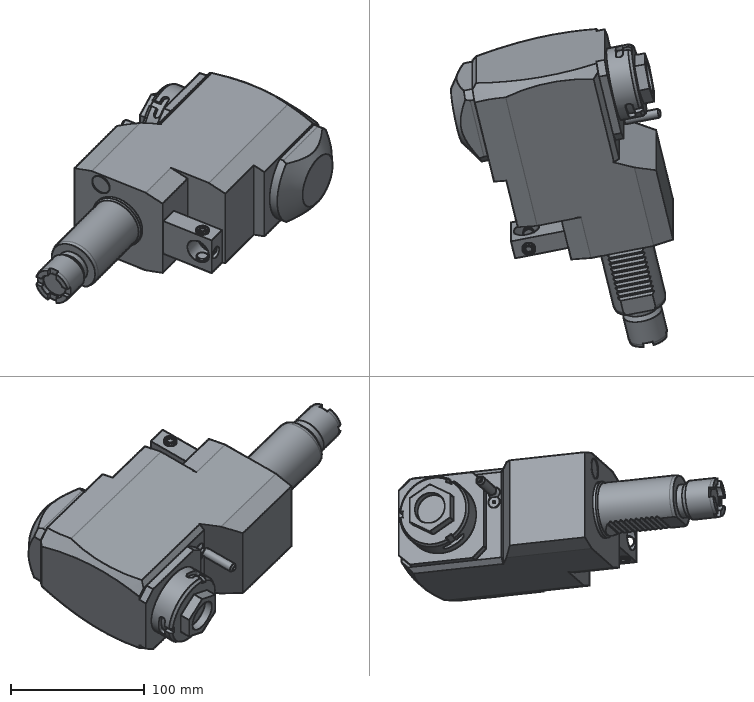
import cadquery as cq
import math


HEIGHT = 75.0
HALF_HEIGHT = HEIGHT / 2
BACK_Y = 154.1
FOOT_HALF_WIDTH = 39.0
FOOT_TOP_Y = 35.0
NECK_RIGHT_X = 72.4
HEAD_FRONT_Y = 74.8
HEAD_LEFT_X = -14.0
HEAD_RIGHT_X = 81.8
SLANT_TOP_X = -9.6
SLANT_BOTTOM_Y = 59.5
SIDE_BEVEL_ANGLE = 15
BEVEL_SLOPE = math.tan(math.radians(SIDE_BEVEL_ANGLE))
FOOT_BEVEL_X = 24.0
HEAD_BEVEL_X = 57.5
HEAD_LEFT_CHAMFER = 4.0
HEAD_CORNER_CHAMFER = 3.7
CROWN_RADIUS = 128.5
CROWN_CENTER_X = 22.2
CROWN_DROP = 4.0
RECESS_RADIUS = 7.7
RECESS_DEPTH = 0.7
RECESS_X = -15.8
RECESS_Z = 27.7

SHANK_RADIUS = 20.0
SHANK_LENGTH = 63.0
SHANK_CHAMFER = 2.7
SHANK_CHAMFER_DEPTH = 0.7
COLLAR_RADIUS = 21.2
COLLAR_LENGTH = 2.2
COLLAR_TAPER_END = 3.5
TAIL_RADIUS = 12.5
TAIL_STEP_Y = -67.7
TAIL_NUT_RADIUS = 14.8
TAIL_NUT_Y = -71.1
TAIL_TIP_Y = -92.9
TAIL_TIP_CHAMFER = 2.7
TAIL_TIP_CHAMFER_DEPTH = 0.5
TAIL_BORE_RADIUS = 10.0
TAIL_BORE_DEPTH = 4.2
TAIL_SLOT_WIDTH = 7.5
TAIL_SLOT_DEPTH = 3.2
FLAT_Z = -15.8
FLAT_START_Y = -8.5
TOOTH_COUNT = 10
TOOTHED_LENGTH = 41.0
TOOTH_PITCH = TOOTHED_LENGTH / TOOTH_COUNT
FIRST_TOOTH_Y = -11.4
TOOTH_DEPTH = 1.5

SPINDLE_Y = 120.0
PLATE_LEFT_X = -20.3
PLATE_FRONT_Y = 86.7
PLATE_HALF_HEIGHT = HALF_HEIGHT - HEAD_LEFT_CHAMFER
PLATE_CORNER_Y = 9.0
PLATE_CORNER_Z = 8.2
RING_RADIUS = 27.5
RING_LEFT_X = -39.3
RING_CHAMFER_X = 2.5
RING_CHAMFER_DEPTH = 1.5
SPANNER_COUNT = 3
SPANNER_WIDTH = 5.5
SPANNER_ARC = 39
SPANNER_DEPTH = 3.2
SPANNER_X = -30.0
NOTCH_WIDTH = 5.0
HEX_SIDES = 6
HEX_ACROSS_FLATS = 32.0
CORNERS_UP = 90
HEX_LEFT_X = -47.2
HEX_BORE_RADIUS = 11.9
HEX_BORE_DEPTH = 6.5

NOZZLE_Y = 80.5
NOZZLE_Z = 17.8
NOZZLE_RADIUS = 3.5
NOZZLE_LEFT_X = -47.0
NOZZLE_RIGHT_X = -19.5
NOZZLE_NECK_RADIUS = 2.2
NOZZLE_FOOT_RADIUS = 4.5
NOZZLE_FOOT_LENGTH = 2.5
NOZZLE_CHAMFER = 1.5
NOZZLE_BORE_RADIUS = 2.0
NOZZLE_BORE_DEPTH = 5.0
CLAMP_Z = 10.4
CLAMP_HEIGHT = 0.7
CLAMP_SOCKET_RADIUS = 1.0

CAP_RADIUS = 37.8
CAP_END_RADIUS = 21.0
CAP_CONE_X = 88.5
CAP_RIGHT_X = 100.3
CAP_HALF_HEIGHT = 29.1
CAP_BEVEL_X = 85.0
CAP_BACK_Y = 150.2

BAR_FRONT_Y = 1.2
BAR_BACK_Y = 15.8
BAR_HALF_HEIGHT = 15.8
BAR_HOLE_X = 70.0
BAR_HOLE_RADIUS = 9.6
END_HOLE_RADIUS = 4.7
SCREW_Y = 7.2
SCREW_RADIUS = 5.0
SCREW_OUTER_Z = 17.8
SCREW_INNER_Z = 8.2
SCREW_CHAMFER = 1.0
SOCKET_ACROSS_CORNERS = 6.0
SOCKET_DEPTH = 2.5

OVERRUN = 2.5


def cylinder_x(radius, x0, x1, y, z):
    return cq.Workplane("YZ", origin=(x0, y, z)).circle(radius).extrude(x1 - x0)


def cylinder_y(radius, y0, y1, x, z):
    return cq.Workplane("XZ", origin=(x, y0, z)).circle(radius).extrude(y0 - y1)


def box(x0, x1, y0, y1, z0, z1):
    return cq.Workplane("XY").box(x1 - x0, y1 - y0, z1 - z0, centered=False).translate((x0, y0, z0))


def with_mirror(upper):
    """Closed outline from its upper points and their mirror images below Z = 0."""
    return upper + [(across, -z) for across, z in reversed(upper)]


def revolve_about_x(profile):
    return cq.Workplane("XY").polyline(profile).close().revolve(360, (0, 0, 0), (1, 0, 0))


def beveled_block(x0, x1, left_drop, left_bevel_x, right_bevel_x, y0, y1):
    """Block whose top and bottom slope down to both sides, the same above and below."""
    right_drop = (x1 - right_bevel_x) * BEVEL_SLOPE
    upper = [
        (x0, HALF_HEIGHT - left_drop),
        (left_bevel_x, HALF_HEIGHT),
        (right_bevel_x, HALF_HEIGHT),
        (x1, HALF_HEIGHT - right_drop),
    ]
    outline = with_mirror(upper)
    return cq.Workplane("XZ", origin=(0, y0, 0)).polyline(outline).close().extrude(y0 - y1)


def make_foot():
    drop = (FOOT_HALF_WIDTH - FOOT_BEVEL_X) * BEVEL_SLOPE
    foot = beveled_block(
        -FOOT_HALF_WIDTH, FOOT_HALF_WIDTH, drop, -FOOT_BEVEL_X, FOOT_BEVEL_X, 0, HEAD_FRONT_Y
    )
    slant = (
        cq.Workplane("XY", origin=(0, 0, -HEIGHT))
        .moveTo(SLANT_TOP_X, HEAD_FRONT_Y)
        .lineTo(-FOOT_HALF_WIDTH, SLANT_BOTTOM_Y)
        .lineTo(-FOOT_HALF_WIDTH - OVERRUN, SLANT_BOTTOM_Y)
        .lineTo(-FOOT_HALF_WIDTH - OVERRUN, HEAD_FRONT_Y)
        .close()
        .extrude(2 * HEIGHT)
    )
    recess = cylinder_y(RECESS_RADIUS, -OVERRUN, RECESS_DEPTH, RECESS_X, RECESS_Z)
    return foot.cut(slant).cut(recess)


def make_neck():
    """Part between the foot and the head, flush with the bevel of the head."""
    neck = beveled_block(
        SLANT_TOP_X, HEAD_RIGHT_X, 0, 0, HEAD_BEVEL_X, FOOT_TOP_Y, HEAD_FRONT_Y
    )
    return neck.cut(box(NECK_RIGHT_X, HEAD_RIGHT_X + OVERRUN, 0, HEAD_FRONT_Y, -HEIGHT, HEIGHT))


def make_head():
    head = beveled_block(
        HEAD_LEFT_X, HEAD_RIGHT_X, HEAD_LEFT_CHAMFER, HEAD_LEFT_X + HEAD_LEFT_CHAMFER,
        HEAD_BEVEL_X, HEAD_FRONT_Y, BACK_Y,
    )
    head = head.edges("|Z and >X and >Y").chamfer(HEAD_CORNER_CHAMFER)
    crown_center_y = BACK_Y - CROWN_DROP - CROWN_RADIUS
    crown = (
        cq.Workplane("XZ", origin=(CROWN_CENTER_X, crown_center_y, 0))
        .polyline([
            (0, -HALF_HEIGHT),
            (CROWN_RADIUS, -HALF_HEIGHT),
            (CROWN_RADIUS + HALF_HEIGHT, 0),
            (CROWN_RADIUS, HALF_HEIGHT),
            (0, HALF_HEIGHT),
        ])
        .close()
        .revolve(360, (0, 0, 0), (0, 1, 0))
    )
    return head.intersect(crown)


def make_shank():
    profile = [
        (0, 0),
        (COLLAR_RADIUS, 0),
        (COLLAR_RADIUS, -COLLAR_LENGTH),
        (SHANK_RADIUS, -COLLAR_TAPER_END),
        (SHANK_RADIUS, SHANK_CHAMFER - SHANK_LENGTH),
        (SHANK_RADIUS - SHANK_CHAMFER_DEPTH, -SHANK_LENGTH),
        (TAIL_RADIUS, -SHANK_LENGTH),
        (TAIL_RADIUS, TAIL_STEP_Y),
        (TAIL_NUT_RADIUS, TAIL_NUT_Y),
        (TAIL_NUT_RADIUS, TAIL_TIP_Y + TAIL_TIP_CHAMFER),
        (TAIL_NUT_RADIUS - TAIL_TIP_CHAMFER_DEPTH, TAIL_TIP_Y),
        (0, TAIL_TIP_Y),
    ]
    shank = cq.Workplane("XY").polyline(profile).close().revolve(360, (0, 0, 0), (0, 1, 0))
    bottom = -COLLAR_RADIUS - OVERRUN
    flat = (
        cq.Workplane("YZ", origin=(-COLLAR_RADIUS, 0, 0))
        .moveTo(FLAT_START_Y, FLAT_Z)
        .lineTo(-SHANK_LENGTH, FLAT_Z)
        .lineTo(-SHANK_LENGTH, bottom)
        .lineTo(FLAT_START_Y + FLAT_Z - bottom, bottom)
        .close()
        .extrude(2 * COLLAR_RADIUS)
    )
    shank = shank.cut(flat)
    for index in range(TOOTH_COUNT):
        groove_y = FIRST_TOOTH_Y - index * TOOTH_PITCH
        groove = (
            cq.Workplane("YZ", origin=(-COLLAR_RADIUS, 0, 0))
            .moveTo(groove_y - TOOTH_PITCH / 2, FLAT_Z)
            .lineTo(groove_y, FLAT_Z + TOOTH_DEPTH)
            .lineTo(groove_y + TOOTH_PITCH / 2, FLAT_Z)
            .close()
            .extrude(2 * COLLAR_RADIUS)
        )
        shank = shank.cut(groove)
    bore_y = TAIL_TIP_Y + TAIL_BORE_DEPTH
    slot_y = TAIL_TIP_Y + TAIL_SLOT_DEPTH
    half = TAIL_SLOT_WIDTH / 2
    reach = TAIL_NUT_RADIUS + OVERRUN
    shank = shank.cut(cylinder_y(TAIL_BORE_RADIUS, TAIL_TIP_Y - OVERRUN, bore_y, 0, 0))
    shank = shank.cut(box(-reach, reach, TAIL_TIP_Y - OVERRUN, slot_y, -half, half))
    return shank.cut(box(-half, half, TAIL_TIP_Y - OVERRUN, slot_y, -reach, reach))


def spanner_slot():
    """Round-ended slot along the rim with a notch to the front, on the +Y side of the ring."""
    inner = RING_RADIUS - SPANNER_DEPTH
    ring = cylinder_x(RING_RADIUS + OVERRUN, RING_LEFT_X, PLATE_LEFT_X, 0, 0).cut(
        cylinder_x(inner, RING_LEFT_X, PLATE_LEFT_X, 0, 0)
    )
    half_chord = RING_RADIUS * math.sin(math.radians(SPANNER_ARC / 2))
    slot = (
        cq.Workplane("XZ", origin=(SPANNER_X, 0, 0))
        .slot2D(2 * half_chord, SPANNER_WIDTH, 90)
        .extrude(-RING_RADIUS - OVERRUN)
    )
    half = NOTCH_WIDTH / 2
    notch = box(RING_LEFT_X, SPANNER_X, 0, RING_RADIUS + OVERRUN, -half, half)
    return ring.intersect(slot.union(notch))


def make_spindle():
    upper = [
        (PLATE_FRONT_Y, PLATE_HALF_HEIGHT - PLATE_CORNER_Z),
        (PLATE_FRONT_Y + PLATE_CORNER_Y, PLATE_HALF_HEIGHT),
        (BACK_Y - PLATE_CORNER_Y, PLATE_HALF_HEIGHT),
        (BACK_Y, PLATE_HALF_HEIGHT - PLATE_CORNER_Z),
    ]
    plate = (
        cq.Workplane("YZ", origin=(PLATE_LEFT_X, 0, 0))
        .polyline(with_mirror(upper))
        .close()
        .extrude(HEAD_LEFT_X - PLATE_LEFT_X)
    )
    ring_profile = [
        (RING_LEFT_X, 0),
        (RING_LEFT_X, RING_RADIUS - RING_CHAMFER_DEPTH),
        (RING_LEFT_X + RING_CHAMFER_X, RING_RADIUS),
        (PLATE_LEFT_X, RING_RADIUS),
        (PLATE_LEFT_X, 0),
    ]
    ring = revolve_about_x(ring_profile)
    for index in range(SPANNER_COUNT):
        turn = index * 360 / SPANNER_COUNT
        ring = ring.cut(spanner_slot().rotate((0, 0, 0), (1, 0, 0), turn))
    across_corners = HEX_ACROSS_FLATS / math.cos(math.pi / HEX_SIDES)
    nut = (
        cq.Workplane("YZ", origin=(HEX_LEFT_X, 0, 0))
        .transformed(rotate=(0, 0, CORNERS_UP))
        .polygon(HEX_SIDES, across_corners)
        .extrude(RING_LEFT_X - HEX_LEFT_X)
        .cut(cylinder_x(HEX_BORE_RADIUS, HEX_LEFT_X, HEX_LEFT_X + HEX_BORE_DEPTH, 0, 0))
    )
    return plate.union(ring.union(nut).translate((0, SPINDLE_Y, 0)))


def make_nozzle():
    profile = [
        (NOZZLE_LEFT_X, 0),
        (NOZZLE_LEFT_X, NOZZLE_RADIUS - NOZZLE_CHAMFER),
        (NOZZLE_LEFT_X + NOZZLE_CHAMFER, NOZZLE_RADIUS),
        (NOZZLE_RIGHT_X, NOZZLE_RADIUS),
        (NOZZLE_RIGHT_X, NOZZLE_NECK_RADIUS),
        (HEAD_LEFT_X - NOZZLE_FOOT_LENGTH, NOZZLE_NECK_RADIUS),
        (HEAD_LEFT_X, NOZZLE_FOOT_RADIUS),
        (HEAD_LEFT_X, 0),
    ]
    nozzle = revolve_about_x(profile)
    bore_end = NOZZLE_LEFT_X + NOZZLE_BORE_DEPTH
    nozzle = nozzle.cut(cylinder_x(NOZZLE_BORE_RADIUS, NOZZLE_LEFT_X, bore_end, 0, 0))
    nozzle = nozzle.translate((0, NOZZLE_Y, NOZZLE_Z))
    clamp_x = HEAD_LEFT_X - CLAMP_HEIGHT
    clamp = cylinder_x(NOZZLE_FOOT_RADIUS, clamp_x, HEAD_LEFT_X, NOZZLE_Y, CLAMP_Z)
    clamp = clamp.cut(cylinder_x(CLAMP_SOCKET_RADIUS, clamp_x, HEAD_LEFT_X, NOZZLE_Y, CLAMP_Z))
    return nozzle.union(clamp)


def make_cap():
    profile = [
        (HEAD_RIGHT_X, 0),
        (HEAD_RIGHT_X, CAP_RADIUS),
        (CAP_CONE_X, CAP_RADIUS),
        (CAP_RIGHT_X, CAP_END_RADIUS),
        (CAP_RIGHT_X, 0),
    ]
    disc = revolve_about_x(profile)
    disc = disc.translate((0, SPINDLE_Y, 0))
    end_height = CAP_HALF_HEIGHT - (CAP_RIGHT_X - CAP_BEVEL_X) * BEVEL_SLOPE
    upper = [
        (HEAD_RIGHT_X, CAP_HALF_HEIGHT),
        (CAP_BEVEL_X, CAP_HALF_HEIGHT),
        (CAP_RIGHT_X, end_height),
    ]
    envelope = (
        cq.Workplane("XZ")
        .polyline(with_mirror(upper))
        .close()
        .extrude(-CAP_BACK_Y)
    )
    return disc.intersect(envelope)


def make_bar():
    bar = box(
        FOOT_HALF_WIDTH, HEAD_RIGHT_X, BAR_FRONT_Y, BAR_BACK_Y, -BAR_HALF_HEIGHT, BAR_HALF_HEIGHT
    )
    bar = bar.cut(cylinder_y(BAR_HOLE_RADIUS, BAR_FRONT_Y, BAR_BACK_Y, BAR_HOLE_X, 0))
    bar = bar.cut(cylinder_x(END_HOLE_RADIUS, BAR_HOLE_X, HEAD_RIGHT_X, SCREW_Y, 0))
    screw = (
        cq.Workplane("XY", origin=(BAR_HOLE_X, SCREW_Y, SCREW_INNER_Z))
        .circle(SCREW_RADIUS)
        .extrude(SCREW_OUTER_Z - SCREW_INNER_Z)
        .faces("<Z or >Z")
        .chamfer(SCREW_CHAMFER)
        .faces(">Z")
        .workplane()
        .polygon(HEX_SIDES, SOCKET_ACROSS_CORNERS)
        .cutBlind(-SOCKET_DEPTH)
    )
    return bar.union(screw).union(screw.mirror("XY"))


result = make_foot()
for piece in (
    make_neck(), make_head(), make_shank(), make_spindle(), make_nozzle(), make_cap(), make_bar()
):
    result = result.union(piece)